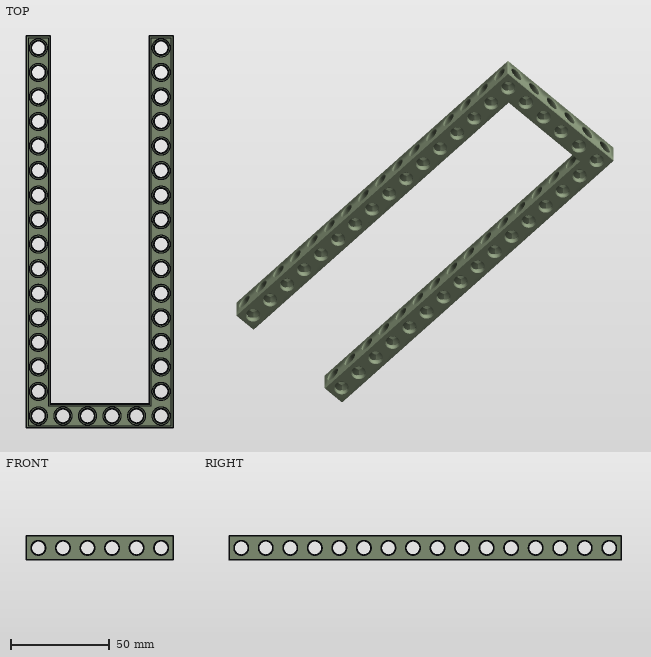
import cadquery as cq

pitch = 12.5
holes_across = 6
holes_along = 16
bore_diameter = 7.0
edge_chamfer = 0.3
recess_margin = 1.1
recess_depth = 0.2

width = holes_across * pitch
length = holes_along * pitch
mid_height = pitch / 2
bore_radius = bore_diameter / 2
land_radius = bore_radius + recess_margin

x_positions = [(i + 0.5) * pitch for i in range(holes_across)]
y_positions = [(i + 0.5) * pitch for i in range(holes_along)]
arm_x = (x_positions[0], x_positions[-1])
beam_y = y_positions[0]

x_axis = cq.Vector(1, 0, 0)
y_axis = cq.Vector(0, 1, 0)
z_axis = cq.Vector(0, 0, 1)


def u_prism(inset, bottom, height):
    """U outline opening toward +Y, shrunk by inset on every wall and extruded along Z."""
    left = inset
    right = width - inset
    inner_left = pitch - inset
    inner_right = width - pitch + inset
    front = inset
    inner_front = pitch - inset
    tip = length - inset
    outline = [
        (left, front),
        (right, front),
        (right, tip),
        (inner_right, tip),
        (inner_right, inner_front),
        (inner_left, inner_front),
        (inner_left, tip),
        (left, tip),
    ]
    return cq.Workplane("XY", origin=(0, 0, bottom)).polyline(outline).close().extrude(height)


def chamfered_frame():
    """Square-section frame with all edges broken except the two inside corners."""
    frame = u_prism(0, 0, pitch)
    inside_corners = cq.selectors.BoxSelector(
        (pitch / 2, pitch / 2, 0), (width - pitch / 2, 1.5 * pitch, pitch)
    )
    corner_edges = cq.selectors.AndSelector(cq.selectors.ParallelDirSelector(z_axis), inside_corners)
    kept_edges = cq.selectors.InverseSelector(corner_edges)
    return frame.edges(kept_edges).chamfer(edge_chamfer).val()


def through_hole(start, axis, depth):
    """Cutters for a bore from start along axis, with a chamfered mouth at both ends."""
    end = start + axis * depth
    mouth_radius = bore_radius + edge_chamfer
    return [
        cq.Solid.makeCylinder(bore_radius, depth, start, axis),
        cq.Solid.makeCone(mouth_radius, bore_radius, edge_chamfer, start, axis),
        cq.Solid.makeCone(mouth_radius, bore_radius, edge_chamfer, end, axis * -1),
    ]


def holes_parallel_to_y():
    """One hole per cross beam position; the outermost two run the full length of an arm."""
    cutters = []
    for x in x_positions:
        depth = length if x in arm_x else pitch
        cutters += through_hole(cq.Vector(x, 0, mid_height), y_axis, depth)
    return cutters


def holes_parallel_to_x():
    """The first hole runs the full length of the cross beam; the others cross each arm."""
    cutters = through_hole(cq.Vector(0, beam_y, mid_height), x_axis, width)
    for y in y_positions[1:]:
        for arm_side in (0, width - pitch):
            cutters += through_hole(cq.Vector(arm_side, y, mid_height), x_axis, pitch)
    return cutters


def vertical_positions():
    """Centres of the vertical holes along the cross beam and both arms."""
    beam = [(x, beam_y) for x in x_positions]
    arms = [(x, y) for x in arm_x for y in y_positions[1:]]
    return beam + arms


def holes_parallel_to_z():
    """Vertical holes through the cross beam and both arms."""
    cutters = []
    for x, y in vertical_positions():
        cutters += through_hole(cq.Vector(x, y, 0), z_axis, pitch)
    return cutters


def top_recess():
    """Shallow U-shaped recess that leaves a border and a round land about each vertical hole."""
    floor = pitch - recess_depth
    lands = [
        cq.Solid.makeCylinder(land_radius, recess_depth, cq.Vector(x, y, floor), z_axis)
        for x, y in vertical_positions()
    ]
    return u_prism(recess_margin, floor, recess_depth).val().cut(*lands)


hole_cutters = holes_parallel_to_x() + holes_parallel_to_y() + holes_parallel_to_z()
solid = chamfered_frame().cut(*hole_cutters, top_recess())
result = cq.Workplane(solid.Solids()[0])